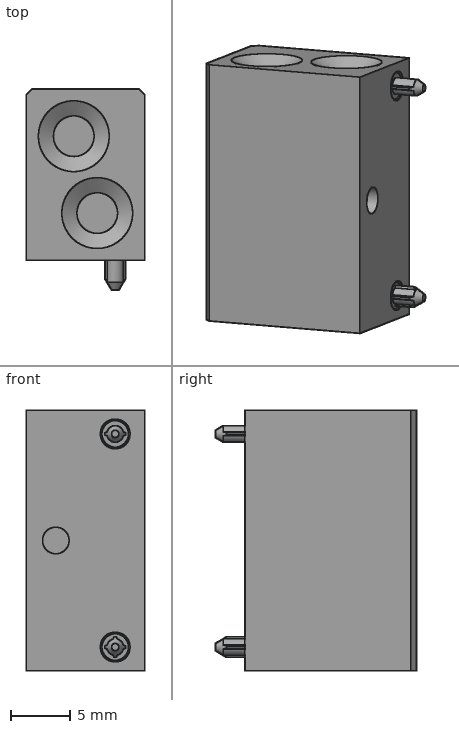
import cadquery as cq
import math

WIDTH = 10.0
DEPTH = 14.5
HEIGHT = 22.0
BACK_CHAMFER = 0.5

WELL_RIM_RADIUS = 3.0
WELL_FLOOR_RADIUS = 1.72
WELL_DEPTH = 0.84
WELL_OFFSET_X = 1.0
WELL_EDGE_DISTANCE = 4.0

FEATURE_OFFSET_X = 2.5
HOLE_RADIUS = 1.12
HOLE_DEPTH = 1.0

PIN_EDGE_DISTANCE = 2.0
PIN_LENGTH = 2.5
PIN_CORE_RADIUS = 0.7
PIN_TIP_RADIUS = 0.3
PIN_CONE_LENGTH = 0.65
FIN_RADIUS = 0.88
FIN_TIP_HALF_WIDTH = 0.09
FIN_ROOT_HALF_WIDTH = 0.18
RECESS_RIM_RADIUS = 1.25
RECESS_FLOOR_RADIUS = 1.12
RECESS_DEPTH = 0.1
PIN_ROOT = 0.22


def front_plane(x, z, depth=0):
    """Plane facing out of the pin face (-Y), sunk by depth; its local Y is Z."""
    return cq.Plane(origin=(x, depth, z), xDir=(1, 0, 0), normal=(0, -1, 0))


def make_body():
    body = cq.Workplane("XY").box(WIDTH, DEPTH, HEIGHT).translate((0, DEPTH / 2, 0))
    return body.faces(">Y").edges("|Z").chamfer(BACK_CHAMFER)


def make_cone_cut(plane, rim_radius, floor_radius, depth):
    """Truncated cone reaching inward from a plane whose normal faces outward."""
    return cq.Workplane(cq.Solid.makeCone(
        rim_radius, floor_radius, depth, pnt=plane.origin, dir=plane.zDir * -1))


def make_pin(x, z, fin_angles):
    """Finned pin with one continuous conical tip across core and fins."""
    plane = front_plane(x, z, RECESS_DEPTH + PIN_ROOT)
    length = PIN_LENGTH + RECESS_DEPTH + PIN_ROOT
    fin_root_reach = math.sqrt(PIN_CORE_RADIUS**2 - FIN_ROOT_HALF_WIDTH**2)
    section = cq.Workplane(plane).circle(PIN_CORE_RADIUS).extrude(length)
    for angle in fin_angles:
        fin_plane = plane.rotated((0, 0, angle))
        fin = (
            cq.Workplane(fin_plane)
            .moveTo(0, -FIN_ROOT_HALF_WIDTH)
            .lineTo(fin_root_reach, -FIN_ROOT_HALF_WIDTH)
            .lineTo(FIN_RADIUS, -FIN_TIP_HALF_WIDTH)
            .lineTo(FIN_RADIUS, FIN_TIP_HALF_WIDTH)
            .lineTo(fin_root_reach, FIN_ROOT_HALF_WIDTH)
            .lineTo(0, FIN_ROOT_HALF_WIDTH)
            .close()
            .extrude(length)
        )
        section = section.union(fin)

    envelope_radius = FIN_RADIUS + FIN_TIP_HALF_WIDTH
    cone_slope = (PIN_CORE_RADIUS - PIN_TIP_RADIUS) / PIN_CONE_LENGTH
    cone_length = (envelope_radius - PIN_TIP_RADIUS) / cone_slope
    envelope = (
        cq.Workplane("XY", origin=plane.origin)
        .lineTo(envelope_radius, 0)
        .lineTo(envelope_radius, cone_length - length)
        .lineTo(PIN_TIP_RADIUS, -length)
        .lineTo(0, -length)
        .close()
        .revolve(360, (0, 0), (0, 1))
    )
    return section.intersect(envelope)


result = make_body()

for x, y in [(-WELL_OFFSET_X, DEPTH - WELL_EDGE_DISTANCE), (WELL_OFFSET_X, WELL_EDGE_DISTANCE)]:
    top_plane = cq.Plane(origin=(x, y, HEIGHT / 2))
    result = result.cut(make_cone_cut(top_plane, WELL_RIM_RADIUS, WELL_FLOOR_RADIUS, WELL_DEPTH))

hole = cq.Workplane(front_plane(-FEATURE_OFFSET_X, 0)).circle(HOLE_RADIUS).extrude(-HOLE_DEPTH)
result = result.cut(hole)

pin_z = HEIGHT / 2 - PIN_EDGE_DISTANCE
for z, fin_angles in [(pin_z, (0, 180)), (-pin_z, (0, 90, 180, 270))]:
    recess_plane = front_plane(FEATURE_OFFSET_X, z)
    recess = make_cone_cut(recess_plane, RECESS_RIM_RADIUS, RECESS_FLOOR_RADIUS, RECESS_DEPTH)
    result = result.cut(recess).union(make_pin(FEATURE_OFFSET_X, z, fin_angles))